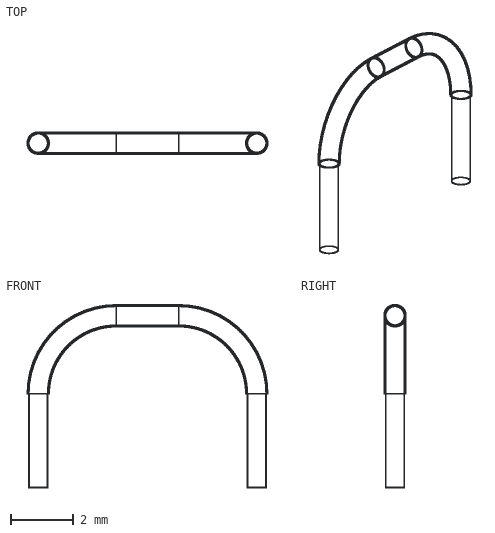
import cadquery as cq
import math

span = 7.7
height = 5.85
wire_diameter = 0.6
sleeve_diameter = 0.7
bridge_length = 2.0

leg_x = (span - sleeve_diameter) / 2
bridge_x = bridge_length / 2
bend_radius = leg_x - bridge_x
bridge_z = height - sleeve_diameter / 2
bend_z = bridge_z - bend_radius


def bend_middle(side):
    """Point halfway round the bend on one side (-1 left, 1 right)."""
    reach = bend_radius * math.cos(math.pi / 4)
    return (side * (bridge_x + reach), bend_z + reach)


def make_wire():
    """Bare wire running up one leg, through the sleeves and down the other."""
    path = (
        cq.Workplane("XZ")
        .moveTo(-leg_x, 0)
        .lineTo(-leg_x, bend_z)
        .threePointArc(bend_middle(-1), (-bridge_x, bridge_z))
        .lineTo(bridge_x, bridge_z)
        .threePointArc(bend_middle(1), (leg_x, bend_z))
        .lineTo(leg_x, 0)
    )
    return cq.Workplane("XY").center(-leg_x, 0).circle(wire_diameter / 2).sweep(path)


def sleeve_ring(plane):
    """Cross-section of a sleeve, fitting closely round the wire."""
    return cq.Workplane(plane).circle(sleeve_diameter / 2).circle(wire_diameter / 2)


def make_bridge_sleeve():
    """Straight sleeve between the bends."""
    ring_plane = cq.Plane.YZ(origin=(-bridge_x, 0, bridge_z))
    return sleeve_ring(ring_plane).extrude(bridge_length)


def make_bend_sleeve(side):
    """Quarter-turn sleeve on one side (-1 left, 1 right)."""
    path = (
        cq.Workplane("XZ")
        .moveTo(side * leg_x, bend_z)
        .threePointArc(bend_middle(side), (side * bridge_x, bridge_z))
    )
    ring_plane = cq.Plane.XY(origin=(side * leg_x, 0, bend_z))
    return sleeve_ring(ring_plane).sweep(path)


wire = make_wire()
bridge_sleeve = make_bridge_sleeve()
bend_sleeves = [make_bend_sleeve(side) for side in (-1, 1)]

result = cq.Compound.makeCompound(
    [wire.val(), bridge_sleeve.val(), *[sleeve.val() for sleeve in bend_sleeves]]
)